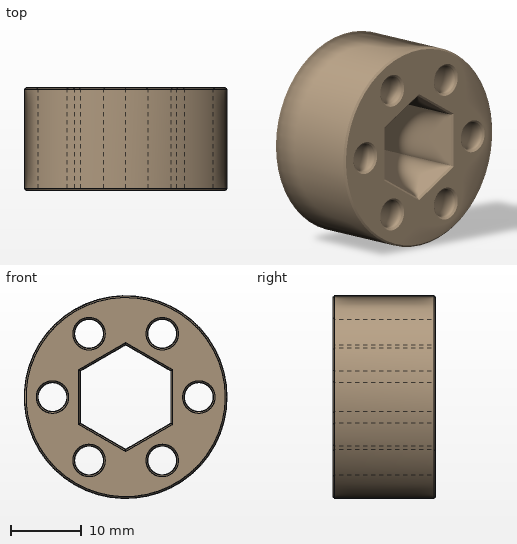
import cadquery as cq
import math

outer_diameter = 28.55
length = 14.48
hex_across_flats = 12.75
hole_diameter = 4.06
hole_circle_diameter = 20.6
hole_count = 6
edge_chamfer = 0.254

hex_sides = 6
hex_across_corners = hex_across_flats / math.cos(math.pi / hex_sides)
hex_corner_turn = 180 / hex_sides


def rear_face_plane():
    """Sketch plane at the +Y end, with its normal toward -Y; the part is centred on the origin."""
    return cq.Workplane("XZ", origin=(0, length / 2, 0))


def make_body():
    """Plain cylinder along Y."""
    return rear_face_plane().circle(outer_diameter / 2).extrude(length)


def cut_hex_bore(body):
    """Hexagonal through bore with corners up and down and flats facing X."""
    bore = (
        rear_face_plane()
        .polygon(hex_sides, hex_across_corners)
        .extrude(length)
        .rotate((0, 0, 0), (0, 1, 0), hex_corner_turn)
    )
    return body.cut(bore)


def cut_bolt_holes(body):
    """Ring of through holes, the first one on the +X axis."""
    holes = (
        rear_face_plane()
        .polarArray(hole_circle_diameter / 2, 0, 360, hole_count)
        .circle(hole_diameter / 2)
        .extrude(length)
    )
    return body.cut(holes)


def chamfer_end_faces(body):
    """Break the rim, hexagon and hole edges on both end faces."""
    return body.faces("<Y or >Y").edges().chamfer(edge_chamfer)


body = make_body()
body = cut_hex_bore(body)
body = cut_bolt_holes(body)
result = chamfer_end_faces(body)